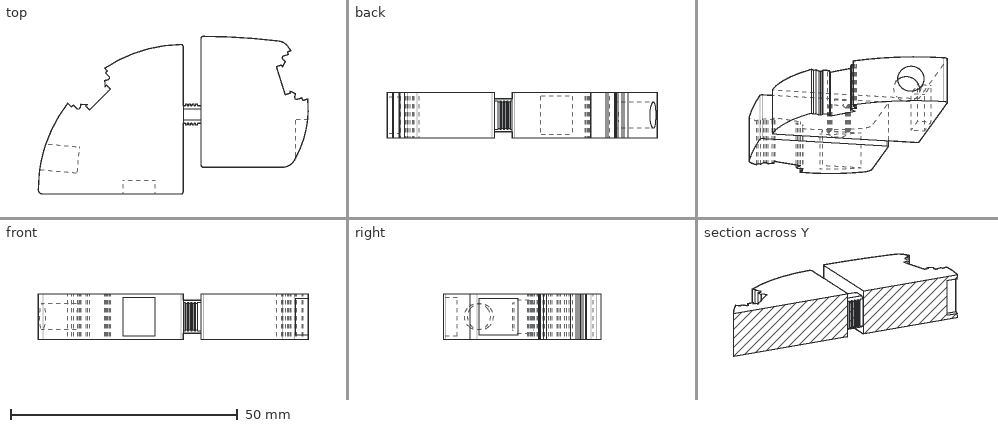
import cadquery as cq
import math

THICKNESS = 10.1
MID_Z = THICKNESS / 2

LEFT_WIDTH = 31.95
LEFT_HEIGHT = 33.0
LEFT_ARC_RADIUS = 31.2
LEFT_TOE_RADIUS = 1.0
TOP_ARC_MIDDLE_ANGLE = 112.5
SIDE_ARC_MIDDLE_ANGLE = 157.5
TOE_MIDDLE_ANGLE = 225.0
INNER_CORNER_RADIUS = 0.5

GAP = 3.9
RIGHT_X = LEFT_WIDTH + GAP
RIGHT_BOTTOM = 5.91
RIGHT_TOP = 34.79
RIGHT_TOP_ARC_RADIUS = 142.0
RIGHT_SIDE_ARC_RADIUS = 23.0
RIGHT_SIDE_ARC_CENTER = (36.49, 18.9)
OUTER_CORNER_RADIUS = 3.0

LEFT_NOTCH_FLOOR = (13.6, 20.85)
LEFT_NOTCH_ANGLE = 135.0
RIGHT_NOTCH_FLOOR = (53.45, 25.0)
RIGHT_NOTCH_ANGLE = 17.5
NOTCH_REACH = 8.0
NOTCH_WALL = [
    (3.22, 0.0),
    (3.22, 1.20),
    (2.75, 1.20),
    (3.72, 2.25),
    (4.30, 1.85),
    (4.75, 1.80),
    (4.98, 2.05),
    (4.98, 3.30),
    (5.60, 3.30),
    (5.60, NOTCH_REACH),
]

BORE_DIAMETER = 5.75
BORE_ENTRY_Y = 8.2
BORE_DEPTH = 8.0
BORE_TILT = 5.0

POCKET_X = 18.7
POCKET_WIDTH = 7.0
POCKET_HEIGHT = 8.4
POCKET_DEPTH = 3.0

RECESS_FLOOR_X = 56.65
RECESS_TOP_Y = 16.5
RECESS_HEIGHT = 8.0

BAR_Y = 17.55
BAR_WIDTH = 3.9
BAR_HEIGHT = 7.3
BAR_FLAT_WIDTH = 2.5
BAR_CHAMFER_Z = 0.5
BAR_EMBED = 1.0
TOOTH_COUNT = 4
TOOTH_PITCH = 0.75
TOOTH_FIRST_X = LEFT_WIDTH + 0.67
TOOTH_ROOT = 0.52
TOOTH_CREST = 0.38
TOOTH_DEPTH = 0.38


def polar_point(center, radius, degrees):
    """Point at the given distance and direction from a centre."""
    angle = math.radians(degrees)
    return (center[0] + radius * math.cos(angle), center[1] + radius * math.sin(angle))


def box(x0, x1, y0, y1, height):
    """Box spanning the given X and Y ranges, centred on the mid-plane in Z."""
    return (
        cq.Workplane("XY")
        .box(x1 - x0, y1 - y0, height)
        .translate(((x0 + x1) / 2, (y0 + y1) / 2, MID_Z))
    )


def notch_cutter(floor, angle):
    """Symmetric stepped notch opening from its floor point towards the given angle."""
    outline = [(-across, up) for across, up in reversed(NOTCH_WALL)] + NOTCH_WALL
    return (
        cq.Workplane("XY")
        .polyline(outline)
        .close()
        .extrude(THICKNESS)
        .rotate((0, 0, 0), (0, 0, 1), angle - 90)
        .translate((floor[0], floor[1], 0))
    )


def bore_cutter():
    """Blind bore that starts outside the curved side and dips towards -Y."""
    rise = BORE_ENTRY_Y - LEFT_TOE_RADIUS
    entry_x = LEFT_ARC_RADIUS - math.sqrt(LEFT_ARC_RADIUS**2 - rise**2)
    tilt = math.radians(BORE_TILT)
    axis = cq.Vector(math.cos(tilt), -math.sin(tilt), 0)
    entry = cq.Vector(entry_x, BORE_ENTRY_Y, MID_Z)
    lead_in = BORE_DIAMETER
    start = entry - axis * lead_in
    return cq.Workplane(
        cq.Solid.makeCylinder(BORE_DIAMETER / 2, lead_in + BORE_DEPTH, start, axis)
    )


def left_block():
    toe = LEFT_TOE_RADIUS
    side_center = (LEFT_ARC_RADIUS, toe)
    top_center = (LEFT_WIDTH, LEFT_HEIGHT - LEFT_ARC_RADIUS)
    centers_middle = ((side_center[0] + top_center[0]) / 2, (side_center[1] + top_center[1]) / 2)
    half_spacing = math.dist(side_center, top_center) / 2
    to_meeting = math.sqrt(LEFT_ARC_RADIUS**2 - half_spacing**2)
    spread_angle = math.degrees(
        math.atan2(top_center[1] - side_center[1], top_center[0] - side_center[0])
    )
    meeting = polar_point(centers_middle, to_meeting, spread_angle + 90)
    block = (
        cq.Workplane("XY")
        .moveTo(toe, 0)
        .lineTo(LEFT_WIDTH, 0)
        .lineTo(LEFT_WIDTH, LEFT_HEIGHT)
        .threePointArc(polar_point(top_center, LEFT_ARC_RADIUS, TOP_ARC_MIDDLE_ANGLE), meeting)
        .threePointArc(polar_point(side_center, LEFT_ARC_RADIUS, SIDE_ARC_MIDDLE_ANGLE), (0, toe))
        .threePointArc(polar_point((toe, toe), toe, TOE_MIDDLE_ANGLE), (toe, 0))
        .close()
        .extrude(THICKNESS)
    )
    block = block.edges("|Z and >X").fillet(INNER_CORNER_RADIUS)
    pocket = box(POCKET_X, POCKET_X + POCKET_WIDTH, 0, POCKET_DEPTH, POCKET_HEIGHT)
    notch = notch_cutter(LEFT_NOTCH_FLOOR, LEFT_NOTCH_ANGLE)
    return block.cut(notch).cut(pocket).cut(bore_cutter())


def right_block():
    far_x = RIGHT_SIDE_ARC_CENTER[0] + RIGHT_SIDE_ARC_RADIUS
    block = box(RIGHT_X, far_x, RIGHT_BOTTOM, RIGHT_TOP, THICKNESS)
    top_disc = (
        cq.Workplane("XY")
        .center(RIGHT_X, RIGHT_TOP - RIGHT_TOP_ARC_RADIUS)
        .circle(RIGHT_TOP_ARC_RADIUS)
        .extrude(THICKNESS)
    )
    side_disc = (
        cq.Workplane("XY")
        .center(*RIGHT_SIDE_ARC_CENTER)
        .circle(RIGHT_SIDE_ARC_RADIUS)
        .extrude(THICKNESS)
    )
    block = block.intersect(top_disc).intersect(side_disc)
    block = block.edges("|Z and (not (<X or >X))").fillet(OUTER_CORNER_RADIUS)
    block = block.edges("|Z and <X").fillet(INNER_CORNER_RADIUS)
    recess = box(RECESS_FLOOR_X, far_x, RIGHT_BOTTOM, RECESS_TOP_Y, RECESS_HEIGHT)
    return block.cut(notch_cutter(RIGHT_NOTCH_FLOOR, RIGHT_NOTCH_ANGLE)).cut(recess)


def chamfered_bar(half_width):
    """Bar along X whose sloped edges run from the flat top and bottom out to the given width."""
    half_flat = BAR_FLAT_WIDTH / 2
    half_height = BAR_HEIGHT / 2
    slope = BAR_CHAMFER_Z / (BAR_WIDTH / 2 - half_flat)
    side_height = half_height - slope * (half_width - half_flat)
    section = [
        (half_width, side_height),
        (half_flat, half_height),
        (-half_flat, half_height),
        (-half_width, side_height),
        (-half_width, -side_height),
        (-half_flat, -half_height),
        (half_flat, -half_height),
        (half_width, -side_height),
    ]
    return (
        cq.Workplane("YZ", origin=(LEFT_WIDTH - BAR_EMBED, BAR_Y, MID_Z))
        .polyline(section)
        .close()
        .extrude(GAP + 2 * BAR_EMBED)
    )


def joining_bar():
    root_y = BAR_WIDTH / 2
    crest_y = root_y + TOOTH_DEPTH
    bar = chamfered_bar(root_y)
    crest_envelope = chamfered_bar(crest_y)
    tooth_profile = [
        (-TOOTH_ROOT / 2, -root_y),
        (-TOOTH_CREST / 2, -crest_y),
        (TOOTH_CREST / 2, -crest_y),
        (TOOTH_ROOT / 2, -root_y),
        (TOOTH_ROOT / 2, root_y),
        (TOOTH_CREST / 2, crest_y),
        (-TOOTH_CREST / 2, crest_y),
        (-TOOTH_ROOT / 2, root_y),
    ]
    for index in range(TOOTH_COUNT):
        tooth_x = TOOTH_FIRST_X + index * TOOTH_PITCH
        slice_through = (
            cq.Workplane("XY", origin=(tooth_x, BAR_Y, MID_Z))
            .polyline(tooth_profile)
            .close()
            .extrude(BAR_HEIGHT, both=True)
        )
        bar = bar.union(crest_envelope.intersect(slice_through))
    return bar


result = left_block().union(right_block()).union(joining_bar())